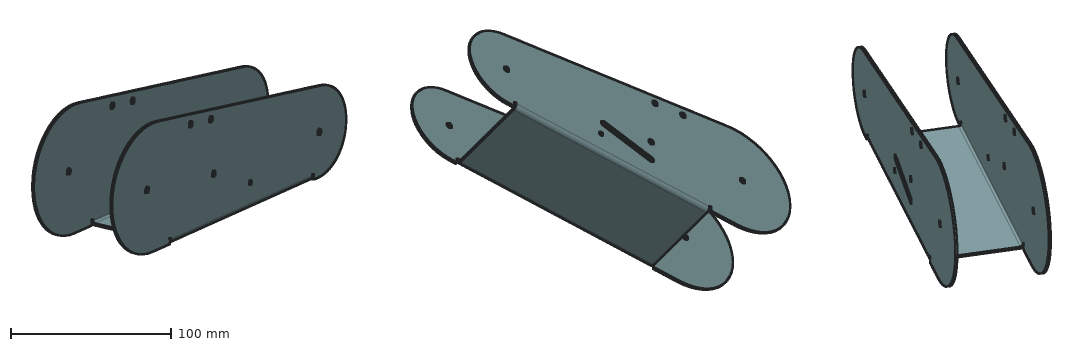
import cadquery as cq
import math

length = 248.5
width = 62.0
sheet = 1.5

front_radius = 42.5
rear_radius = 30.0
front_y = -length / 2 + front_radius
rear_y = length / 2 - rear_radius

floor_front = -61.6
floor_rear = 88.2
bend_inner_radius = 1.5
bend_outer_radius = bend_inner_radius + sheet

notch_width = 1.5
notch_height = 3.7

hole_diameter = 4.0
hole_centers = [(95.7, 29.8), (-87.2, 42.5), (-19.5, 70.3), (-41.0, 73.0), (-16.5, 33.5)]
pilot_diameter = 3.0
pilot_center = (22.4, 17.0)

slot_width = 4.0
slot_rear = (20.5, 27.3)
slot_front = (-16.5, 17.6)


def on_circle(center_y, radius, angle):
    """Point (y, z) on an end circle that touches the base plane."""
    return (center_y + radius * math.cos(angle), radius + radius * math.sin(angle))


def yz_plane():
    """Sketch plane on the outer face of the -X plate."""
    return cq.Workplane("YZ", origin=(-width / 2, 0, 0))


def side_profile():
    """Side outline extruded through the full width."""
    slope = 2 * math.atan((front_radius - rear_radius) / (rear_y - front_y))
    tangent_angle = math.pi / 2 - slope
    rear_mid_angle = (tangent_angle - math.pi / 2) / 2
    return (
        yz_plane()
        .moveTo(front_y, 0)
        .lineTo(rear_y, 0)
        .threePointArc(
            on_circle(rear_y, rear_radius, rear_mid_angle),
            on_circle(rear_y, rear_radius, tangent_angle),
        )
        .lineTo(*on_circle(front_y, front_radius, tangent_angle))
        .threePointArc(on_circle(front_y, front_radius, math.pi), (front_y, 0))
        .close()
        .extrude(width)
    )


def channel():
    """U-shaped sheet, with rounded bends only along the floor."""
    height = 2 * front_radius
    inner_width = width - 2 * sheet
    floor_length = floor_rear - floor_front
    floor_mid = (floor_front + floor_rear) / 2

    cavity = cq.Workplane("XY").box(inner_width, length, height, centered=(True, True, False))
    plates = side_profile().cut(cavity)

    def trough(trough_width, bottom, radius):
        block = cq.Workplane("XY", origin=(0, floor_mid, bottom)).box(
            trough_width, floor_length, height, centered=(True, True, False)
        )
        return block.edges("|Y and <Z").fillet(radius)

    outside = trough(width, 0, bend_outer_radius)
    inside = trough(inner_width, sheet, bend_inner_radius)
    bent_zone = cq.Workplane("XY", origin=(0, floor_mid, 0)).box(
        width, floor_length, bend_outer_radius, centered=(True, True, False)
    )
    bent_floor = outside.cut(inside).intersect(bent_zone)
    return plates.cut(bent_zone).union(bent_floor)


def relief_notches():
    """Square notches just beyond both ends of the floor."""
    centers = [(floor_front - notch_width / 2, 0), (floor_rear + notch_width / 2, 0)]
    return yz_plane().pushPoints(centers).rect(notch_width, 2 * notch_height).extrude(width)


def plate_holes():
    holes = yz_plane().pushPoints(hole_centers).circle(hole_diameter / 2).extrude(width)
    pilot = yz_plane().center(*pilot_center).circle(pilot_diameter / 2).extrude(width)
    return holes.union(pilot)


def inclined_slot():
    run = slot_front[0] - slot_rear[0]
    rise = slot_front[1] - slot_rear[1]
    overall_length = math.hypot(run, rise) + slot_width
    middle = ((slot_front[0] + slot_rear[0]) / 2, (slot_front[1] + slot_rear[1]) / 2)
    angle = math.degrees(math.atan(rise / run))
    return yz_plane().center(*middle).slot2D(overall_length, slot_width, angle).extrude(sheet)


result = channel().cut(relief_notches()).cut(plate_holes()).cut(inclined_slot())